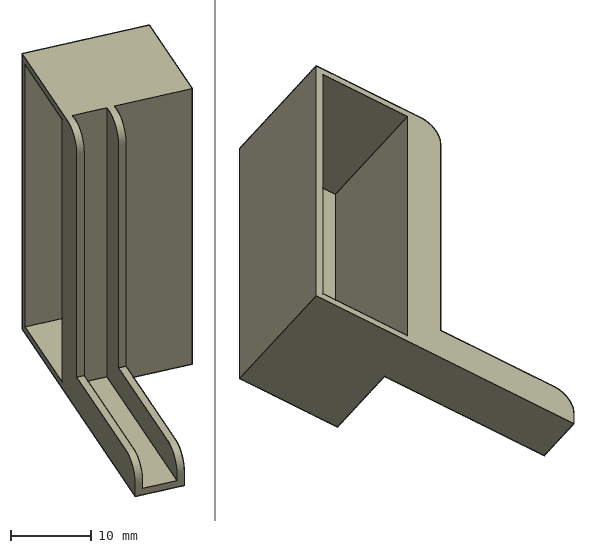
import cadquery as cq

length = 38.75
depth = 17.0
height = 42.0

wall = 1.0
cavity_width = 12.73
box_width = cavity_width + 2 * wall

arm_width = 5.0
corner_radius = 3.0
channel_width = 4.58
flange_depth = channel_width + 2 * wall
upright_edge = wall + cavity_width + arm_width


def make_box():
    """Box with a cavity open at the front and a wall left at the back."""
    body = cq.Workplane("XY").box(box_width, depth, height, centered=False)
    cavity = (
        cq.Workplane("XY")
        .box(cavity_width, depth - wall, height - 2 * wall, centered=False)
        .translate((wall, 0, wall))
    )
    return body.cut(cavity)


def make_flanges():
    """L-shaped plate beside the box, with rounded arm ends and a channel along its inner edge."""
    start = box_width - wall
    plate = (
        cq.Workplane("XZ")
        .moveTo(start, 0)
        .lineTo(length, 0)
        .lineTo(length, arm_width - corner_radius)
        .radiusArc((length - corner_radius, arm_width), -corner_radius)
        .lineTo(upright_edge, arm_width)
        .lineTo(upright_edge, height - corner_radius)
        .radiusArc((upright_edge - corner_radius, height), -corner_radius)
        .lineTo(start, height)
        .close()
        .extrude(-flange_depth)
    )
    channel = (
        cq.Workplane("XY")
        .box(length - box_width, channel_width, height - wall, centered=False)
        .translate((box_width, wall, wall))
    )
    return plate.cut(channel)


result = make_box().union(make_flanges())